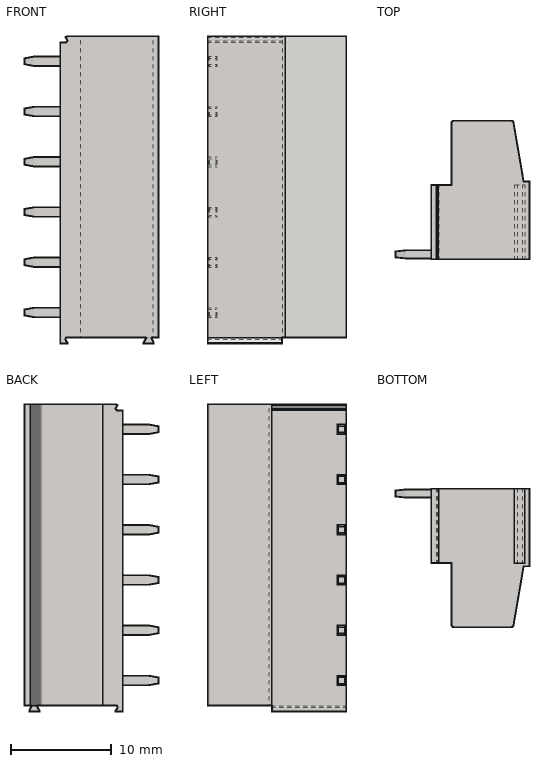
import cadquery as cq

total_height = 30.6
rib_height = 0.6
body_width = 9.8
body_depth = 13.8
body_height = total_height - rib_height

pin_side_shelf_depth = 7.4
far_shelf_depth = 7.75
tower_left = 2.02
tower_top_right = 8.17
tower_foot_right = 9.2
tower_round = 0.25

lip_inset = 0.52
lip_drop = 0.1
lip_slope_inset = 0.7
groove_inset = 0.73
groove_inset_drop = 0.45
groove_floor_inset = 0.58

rib_lip = 0.1
edge_rib_neck_drop = 0.18
edge_rib_width = 0.73
edge_rib_neck = 0.52
edge_rib_root = 0.6
far_rib_center = 8.8
far_rib_width = 1.05
far_rib_root = 0.52

pin_count = 6
pin_pitch = body_height / pin_count
pin_length = 3.55
pin_taper_length = 1.0
pin_height = 0.98
pin_depth = 0.83
pin_tip_size = 0.6
pin_center_y = 0.5


def make_housing():
    """Stepped profile extruded upward, with rounded tower edges."""
    housing = (
        cq.Workplane("XY")
        .workplane(offset=rib_height)
        .moveTo(0, 0)
        .lineTo(body_width, 0)
        .lineTo(body_width, far_shelf_depth)
        .lineTo(tower_foot_right, far_shelf_depth)
        .lineTo(tower_top_right, body_depth)
        .lineTo(tower_left, body_depth)
        .lineTo(tower_left, pin_side_shelf_depth)
        .lineTo(0, pin_side_shelf_depth)
        .close()
        .extrude(body_height)
    )
    return housing.faces(">Y").edges("|Z").fillet(tower_round)


def along_shelf(points):
    """Extrude an XZ outline from the base up to the pin-side shelf."""
    return cq.Workplane("XZ").polyline(points).close().extrude(-pin_side_shelf_depth)


def make_groove():
    """Undercut step removed along the upper pin-side edge, under a pointed lip."""
    return along_shelf([
        (0, total_height),
        (lip_slope_inset, total_height),
        (lip_inset, total_height - lip_drop),
        (groove_inset, total_height - groove_inset_drop),
        (groove_floor_inset, total_height - rib_height),
        (0, total_height - rib_height),
    ])


def make_edge_rib():
    """Half dovetail flush with the pin face."""
    return along_shelf([
        (0, 0),
        (edge_rib_width, 0),
        (edge_rib_width, rib_lip),
        (edge_rib_neck, rib_height - edge_rib_neck_drop),
        (edge_rib_root, rib_height),
        (0, rib_height),
    ])


def make_far_rib():
    """Full dovetail near the face opposite the pins."""
    half_outline = [
        (far_rib_width / 2, 0),
        (far_rib_width / 2, rib_lip),
        (far_rib_root / 2, rib_height),
    ]
    right_side = [(far_rib_center + x, z) for x, z in half_outline]
    left_side = [(far_rib_center - x, z) for x, z in reversed(half_outline)]
    return along_shelf(right_side + left_side)


def make_pin(center_z):
    """Rectangular pin pointing toward -X with a tapered square tip."""
    shank_length = pin_length - pin_taper_length
    root = cq.Workplane("YZ", origin=(0, pin_center_y, center_z))
    shank = root.rect(pin_depth, pin_height).extrude(-shank_length)
    taper = (
        root.workplane(offset=-shank_length)
        .rect(pin_depth, pin_height)
        .workplane(offset=-pin_taper_length)
        .rect(pin_tip_size, pin_tip_size)
        .loft(combine=False)
    )
    return shank.union(taper)


result = make_housing().cut(make_groove()).union(make_edge_rib()).union(make_far_rib())

for pin_index in range(pin_count):
    pin_z = rib_height + pin_pitch * (pin_index + 0.5)
    result = result.union(make_pin(pin_z))